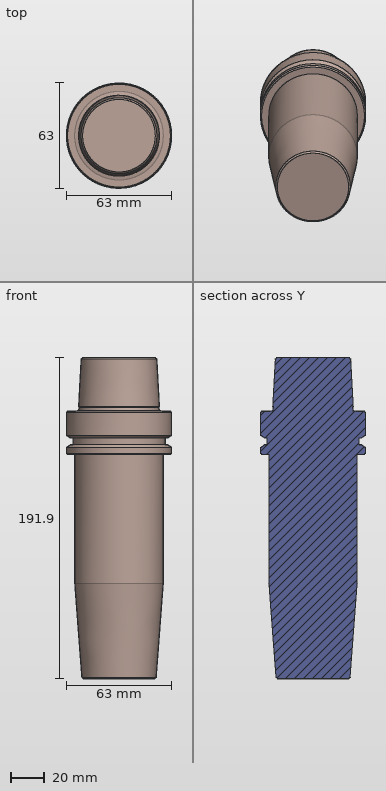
import cadquery as cq

total_height = 191.9
flange_top = 159.9
flange_bottom = 134.0
nose_top = 57.0
groove_centre = 141.8
groove_width = 3.8

flange_radius = 31.5
groove_radius = 27.6
groove_lip_radius = 29.0
body_radius = 26.5
nose_end_radius = 22.3
shank_base_radius = 24.2
shank_top_radius = 22.6
neck_radius = 23.8
neck_base_radius = 24.2

flange_chamfer = 0.8
groove_flank_rise = 1.7
nose_chamfer = 1.0
shank_chamfer = 1.0
neck_height = 2.9
neck_step = 0.5
collar_radius = body_radius
collar_height = 0.4

groove_top = groove_centre + groove_width / 2
groove_bottom = groove_centre - groove_width / 2
neck_top = flange_top + neck_height

nose_and_body = [
    (0, 0),
    (nose_end_radius - nose_chamfer, 0),
    (nose_end_radius, nose_chamfer),
    (body_radius, nose_top),
    (body_radius, flange_bottom),
]
flange_and_groove = [
    (flange_radius - flange_chamfer, flange_bottom),
    (flange_radius, flange_bottom + flange_chamfer),
    (flange_radius, groove_bottom - groove_flank_rise),
    (groove_lip_radius, groove_bottom),
    (groove_radius, groove_bottom),
    (groove_radius, groove_top),
    (groove_lip_radius, groove_top),
    (flange_radius, groove_top + groove_flank_rise),
    (flange_radius, flange_top - flange_chamfer),
    (flange_radius - flange_chamfer, flange_top),
]
neck_and_shank = [
    (collar_radius, flange_top),
    (neck_base_radius, flange_top + collar_height),
    (neck_radius, neck_top - neck_step),
    (shank_base_radius, neck_top),
    (shank_top_radius, total_height - shank_chamfer),
    (shank_top_radius - shank_chamfer, total_height),
    (0, total_height),
]

half_section = nose_and_body + flange_and_groove + neck_and_shank
result = cq.Workplane("XZ").polyline(half_section).close().revolve(360, (0, 0, 0), (0, 1, 0))